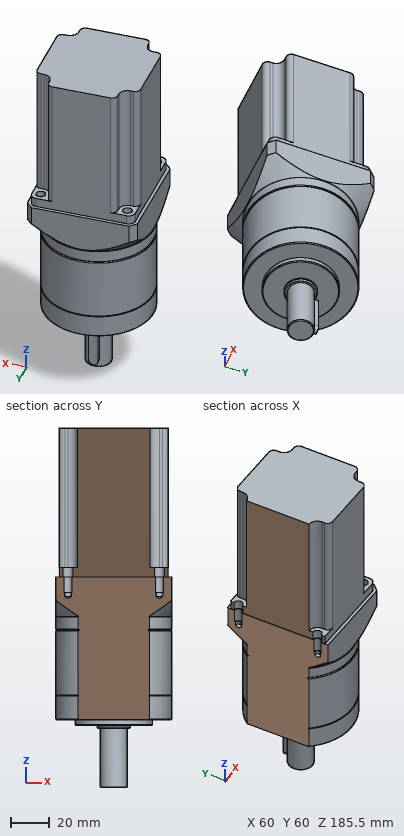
import cadquery as cq
import math


housing_size = 60.0
housing_radius = housing_size / 2
front_chamfer = 0.5
cone_start = 53.5
flange_top = 73.7
flange_corner_radius = 40.0

lower_groove_z = 12.5
lower_groove_width = 0.5
upper_groove_z = 46.3
upper_groove_width = 1.0
cone_groove_width = 0.5

pilot_diameter = 40.0
pilot_height = 3.0
pilot_chamfer = 0.5
collar_diameter = 17.5
collar_height = 1.5
collar_chamfer = 0.7
shaft_diameter = 14.0
shaft_length = 35.0
shaft_chamfer = 0.5

key_width = 5.0
key_length = 25.0
key_crest_y = 9.0
key_end_gap = 2.5

motor_size = 56.4
motor_length = 76.8
motor_flange_thickness = 5.0
motor_flange_corner_radius = 3.5
bolt_spacing = 47.14
bolt_hole_diameter = 5.0
corner_recess_radius = 4.75
corner_recess_edge_radius = 3.0

thread_diameter = 4.0
thread_depth = 8.0
core_diameter = 3.3
core_depth = 10.0
drill_point_angle = 118.0


def disc(diameter, bottom, height):
    return cq.Workplane("XY").workplane(offset=bottom).circle(diameter / 2).extrude(height)


def square_block(side, bottom, height):
    return cq.Workplane("XY").workplane(offset=bottom).rect(side, side).extrude(height)


def groove_ring(center_z, width):
    half = width / 2
    return (
        cq.Workplane("XZ")
        .moveTo(housing_radius, center_z - half)
        .lineTo(housing_radius, center_z + half)
        .lineTo(housing_radius - half, center_z)
        .close()
        .revolve(360, (0, 0, 0), (0, 1, 0))
    )


def make_housing():
    """Round gearbox that widens in a 45 degree cone into a square flange."""
    cone_end = cone_start + flange_corner_radius - housing_radius
    envelope = (
        cq.Workplane("XZ")
        .moveTo(0, 0)
        .lineTo(housing_radius - front_chamfer, 0)
        .lineTo(housing_radius, front_chamfer)
        .lineTo(housing_radius, cone_start)
        .lineTo(flange_corner_radius, cone_end)
        .lineTo(flange_corner_radius, flange_top)
        .lineTo(0, flange_top)
        .close()
        .revolve(360, (0, 0, 0), (0, 1, 0))
    )
    square = square_block(housing_size, 0, flange_top)
    housing = envelope.intersect(square)
    grooves = (
        (lower_groove_z, lower_groove_width),
        (upper_groove_z, upper_groove_width),
        (cone_start - cone_groove_width / 2, cone_groove_width),
    )
    for center_z, width in grooves:
        housing = housing.cut(groove_ring(center_z, width))
    return housing


def make_output_shaft():
    """Pilot, collar, shaft and key below the mounting face."""
    pilot = disc(pilot_diameter, -pilot_height, pilot_height).faces("<Z").chamfer(pilot_chamfer)
    collar_bottom = -pilot_height - collar_height
    collar = disc(collar_diameter, collar_bottom, collar_height).faces("<Z").chamfer(collar_chamfer)
    shaft = disc(shaft_diameter, -shaft_length, shaft_length).faces("<Z").chamfer(shaft_chamfer)
    key = (
        cq.Workplane("XZ")
        .center(0, -shaft_length + key_end_gap + key_length / 2)
        .slot2D(key_length, key_width, 90)
        .extrude(-key_crest_y)
    )
    return shaft.union(key).union(collar).union(pilot)


def make_screw_hole():
    """Thread and core bore with a conical bottom, standing on the Z axis below the mating plane."""
    thread_radius = thread_diameter / 2
    core_radius = core_diameter / 2
    thread_end = flange_top - thread_depth
    core_end = flange_top - core_depth
    tip = core_end - core_radius / math.tan(math.radians(drill_point_angle / 2))
    return (
        cq.Workplane("XZ")
        .moveTo(0, tip)
        .lineTo(core_radius, core_end)
        .lineTo(core_radius, thread_end)
        .lineTo(thread_radius, thread_end)
        .lineTo(thread_radius, flange_top)
        .lineTo(0, flange_top)
        .close()
        .revolve(360, (0, 0, 0), (0, 1, 0))
    )


def make_gearbox():
    gearbox = make_housing().union(make_output_shaft())
    for x_side in (-1, 1):
        for y_side in (-1, 1):
            position = (x_side * bolt_spacing / 2, y_side * bolt_spacing / 2, 0)
            gearbox = gearbox.cut(make_screw_hole().translate(position))
    return gearbox


def make_motor_case(bottom, height):
    """Square case whose corners are recessed around the bolts, with rounded outer edges."""
    recess_center = bolt_spacing / 2
    wall = recess_center - corner_recess_radius
    outer = motor_size / 2
    notch_side = outer - wall
    notch_center = wall + notch_side / 2

    case = square_block(motor_size, bottom, height)
    for x_side in (-1, 1):
        for y_side in (-1, 1):
            notch = (
                cq.Workplane("XY")
                .workplane(offset=bottom)
                .center(x_side * notch_center, y_side * notch_center)
                .rect(notch_side, notch_side)
                .extrude(height)
            )
            inner_edge = cq.selectors.NearestToPointSelector(
                (x_side * wall, y_side * wall, bottom + height / 2)
            )
            case = case.cut(notch.edges("|Z").edges(inner_edge).fillet(corner_recess_radius))

    case_half = outer - corner_recess_edge_radius / 2
    outer_edges = case.edges("|Z").filter(
        lambda edge: max(abs(edge.Center().x), abs(edge.Center().y)) > case_half
    )
    return outer_edges.fillet(corner_recess_edge_radius)


def make_motor():
    flange = square_block(motor_size, flange_top, motor_flange_thickness)
    flange = flange.edges("|Z").fillet(motor_flange_corner_radius)
    bolt_holes = (
        cq.Workplane("XY")
        .workplane(offset=flange_top)
        .rect(bolt_spacing, bolt_spacing, forConstruction=True)
        .vertices()
        .circle(bolt_hole_diameter / 2)
        .extrude(motor_flange_thickness)
    )
    case_bottom = flange_top + motor_flange_thickness
    case = make_motor_case(case_bottom, motor_length - motor_flange_thickness)
    return flange.cut(bolt_holes).union(case)


gearbox = make_gearbox()
motor = make_motor()

result = cq.Compound.makeCompound([gearbox.val(), motor.val()])